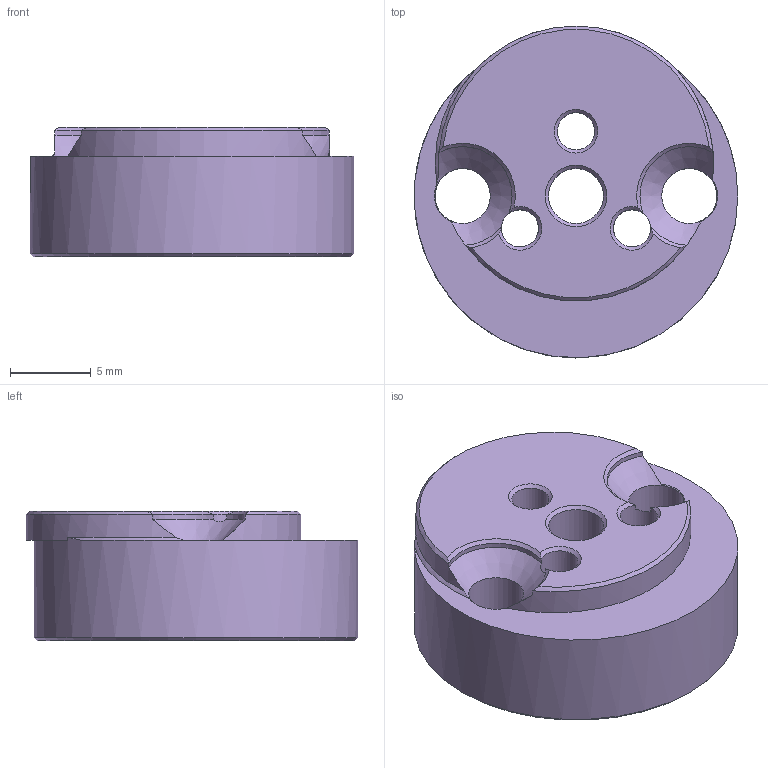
import cadquery as cq
import math

total_height = 8.0
boss_height = 1.8
base_height = total_height - boss_height
edge_chamfer = 0.2

base_radius = 10.0
boss_radius = 8.5
boss_offset_y = 2.0

center_hole_radius = 1.7
pin_hole_radius = 1.15
pin_circle_radius = 4.0
pin_angles = (90, 210, 330)

screw_hole_radius = 1.7
screw_offset_x = 7.0
screw_head_radius = 3.05
screw_head_depth = 0.5

bead_size = 0.2


def make_base():
    """Lower disc with a chamfered bottom edge."""
    disc = cq.Workplane("XY").circle(base_radius).extrude(base_height)
    return disc.faces("<Z").chamfer(edge_chamfer)


def make_boss():
    """Raised disc, shifted along +Y so that it overhangs the base slightly."""
    disc = (
        cq.Workplane("XY", origin=(0, boss_offset_y, base_height))
        .circle(boss_radius)
        .extrude(boss_height)
    )
    return disc.faces(">Z").chamfer(edge_chamfer)


def make_corner_bead():
    """45 degree bead along the boss foot, from the left screw hole back to the rim of the base."""
    cone = cq.Workplane(
        cq.Solid.makeCone(
            boss_radius + bead_size,
            boss_radius,
            bead_size,
            pnt=cq.Vector(0, boss_offset_y, base_height),
        )
    )
    rear_left_quarter = (
        cq.Workplane("XY", origin=(0, 0, base_height))
        .rect(-base_radius, base_radius, centered=False)
        .extrude(bead_size)
    )
    above_base = cq.Workplane("XY").circle(base_radius).extrude(total_height)
    return cone.intersect(rear_left_quarter).intersect(above_base)


def make_hole_cutter(x, y, radius):
    """Through hole with a chamfered top rim."""
    profile = [
        (0, 0),
        (radius, 0),
        (radius, total_height - edge_chamfer),
        (radius + edge_chamfer, total_height),
        (0, total_height),
    ]
    return revolve_about_vertical(profile, x, y)


def make_screw_cutter(x):
    """Through hole with a 90 degree countersink, a short head recess and a chamfered rim."""
    cone_top = total_height - screw_head_depth
    cone_bottom = cone_top - (screw_head_radius - screw_hole_radius)
    profile = [
        (0, 0),
        (screw_hole_radius, 0),
        (screw_hole_radius, cone_bottom),
        (screw_head_radius, cone_top),
        (screw_head_radius, total_height - edge_chamfer),
        (screw_head_radius + edge_chamfer, total_height),
        (0, total_height),
    ]
    return revolve_about_vertical(profile, x, 0)


def revolve_about_vertical(profile, x, y):
    """Revolve a (radius, height) outline about the vertical axis through (x, y)."""
    solid = cq.Workplane("XZ").polyline(profile).close().revolve(360, (0, 0), (0, 1))
    return solid.translate((x, y, 0))


result = make_base().union(make_boss()).union(make_corner_bead())

result = result.cut(make_hole_cutter(0, 0, center_hole_radius))

for angle in pin_angles:
    pin_x = pin_circle_radius * math.cos(math.radians(angle))
    pin_y = pin_circle_radius * math.sin(math.radians(angle))
    result = result.cut(make_hole_cutter(pin_x, pin_y, pin_hole_radius))

for side in (-1, 1):
    result = result.cut(make_screw_cutter(side * screw_offset_x))